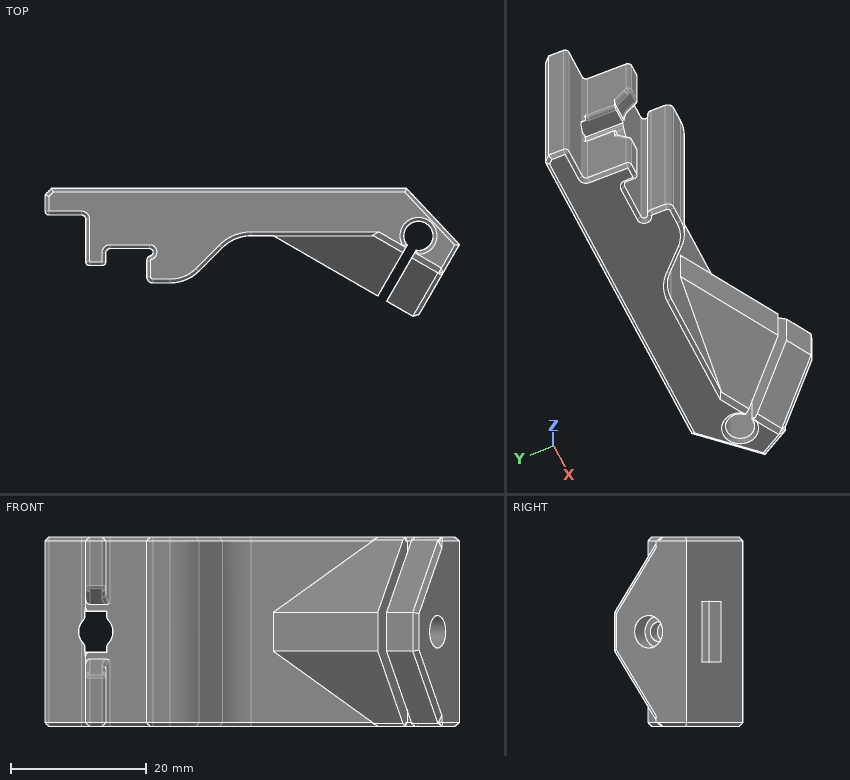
import cadquery as cq
import math

length = 61.1
height = 28.0
rim_chamfer = 0.58
edge_radius = 0.6

plate_end_thickness = 4.0
plate_thickness = 7.0
back_length = 53.3
back_corner_chamfer = 1.0

tab_left = 6.0
tab_right = 9.0
tab_tip = 11.4
slot_right = 15.0
slot_floor = 8.9
relief_radius = 0.52
relief_offset = 0.4
lip_radius = 0.85

hook_tip = 14.0
hook_corner_radius = 1.0
hook_flat_end = 18.45
bend_radius = 6.0
bend_angle = 45.0

hole_radius = 2.5
hole_blend_radius = 1.0
hole_half_height = 3.0
hole_width = 3.2
hole_x = (tab_left + tab_right) / 2
notch_half_height = 4.05

lug_angle = 30.0
lug_start = 33.65
tip_drop = 8.3
ridge_half_width = 2.9
flank_depth = 7.4
flank_half_width = 13.5
web_depth = 7.7
lug_end_chamfer = 0.7

bore_x = 55.05
bore_y = -7.0
bore_radius = 2.15
slit_width = 1.5
screw_radius = 1.45
screw_head_radius = 2.4
screw_head_depth = 3.05
screw_offset = 6.2
window_width = 3.9
window_height = 8.9

pick_margin = 0.05

along = cq.Vector(math.cos(math.radians(lug_angle)), -math.sin(math.radians(lug_angle)))
inward = cq.Vector(-along.y, along.x)
lug_origin = cq.Vector(lug_start, -plate_thickness)
tip = cq.Vector(length, -tip_drop)
lug_length = (tip - lug_origin).dot(along)

bore_from_origin = cq.Vector(bore_x, bore_y) - lug_origin
bore_distance = bore_from_origin.dot(along)
bore_depth = bore_from_origin.dot(inward)
slit_start = bore_distance - slit_width / 2


def lug_point(distance, depth):
    """XY point at a distance along the lug underside and a depth above it."""
    point = lug_origin + along * distance + inward * depth
    return (point.x, point.y)


def lug_plane(distance, depth=0.0):
    """Plane across the lug: local X runs into the body, local Y runs along Z."""
    x, y = lug_point(distance, depth)
    return cq.Plane(origin=(x, y, 0), xDir=inward.toTuple(), normal=along.toTuple())


def upright_edges(x, y):
    """Selector for the full-height edge at a corner of the body outline."""
    return cq.selectors.BoxSelector(
        (x - pick_margin, y - pick_margin, -height),
        (x + pick_margin, y + pick_margin, height),
    )


def make_body():
    """Plate, tab, hook and clamp web as one prism with chamfered rims."""
    bend_run = bend_radius * math.sin(math.radians(bend_angle))
    bend_drop = bend_radius * (1 - math.cos(math.radians(bend_angle)))
    half_run = bend_radius * math.sin(math.radians(bend_angle / 2))
    half_drop = bend_radius * (1 - math.cos(math.radians(bend_angle / 2)))
    ramp_drop = hook_tip - plate_thickness - 2 * bend_drop
    ramp_start = hook_flat_end + bend_run
    ramp_end = ramp_start + ramp_drop / math.tan(math.radians(bend_angle))
    bend_end = ramp_end + bend_run

    relief_x = slot_right + relief_offset
    relief_y = -slot_floor - relief_radius
    lip_y = relief_y - math.sqrt(relief_radius**2 - relief_offset**2)

    web_start = web_depth / inward.x + lug_start

    body = (
        cq.Workplane("XY")
        .moveTo(0, 0)
        .lineTo(0, -plate_end_thickness)
        .lineTo(tab_left, -plate_end_thickness)
        .lineTo(tab_left, -tab_tip)
        .lineTo(tab_right, -tab_tip)
        .lineTo(tab_right, -slot_floor)
        .lineTo(relief_x, -slot_floor)
        .threePointArc((relief_x + relief_radius, relief_y), (slot_right, lip_y))
        .lineTo(slot_right, -hook_tip)
        .lineTo(hook_flat_end, -hook_tip)
        .threePointArc(
            (hook_flat_end + half_run, -hook_tip + half_drop),
            (ramp_start, -hook_tip + bend_drop),
        )
        .lineTo(ramp_end, -plate_thickness - bend_drop)
        .threePointArc(
            (bend_end - half_run, -plate_thickness - half_drop),
            (bend_end, -plate_thickness),
        )
        .lineTo(web_start, -plate_thickness)
        .lineTo(*lug_point(lug_length, web_depth))
        .lineTo(tip.x, tip.y)
        .lineTo(back_length, 0)
        .close()
        .extrude(height / 2, both=True)
    )

    body = body.edges(upright_edges(0, 0)).chamfer(back_corner_chamfer)
    rounded_corners = [
        (0, -plate_end_thickness, edge_radius),
        (tab_left, -plate_end_thickness, edge_radius),
        (tab_left, -tab_tip, edge_radius),
        (tab_right, -tab_tip, edge_radius),
        (tab_right, -slot_floor, edge_radius),
        (slot_right, -hook_tip, hook_corner_radius),
        (slot_right, lip_y, lip_radius),
    ]
    for x, y, radius in rounded_corners:
        body = body.edges("|Z").edges(upright_edges(x, y)).fillet(radius)

    body = body.cut(make_bore()).cut(make_slit())
    return body.faces("|Z").chamfer(rim_chamfer)


def make_bore():
    """Upright clamp bore through the whole height."""
    return cq.Workplane("XY").moveTo(bore_x, bore_y).circle(bore_radius).extrude(height, both=True)


def make_slit():
    """Slit from the bore centre out through the lug underside."""
    return (
        cq.Workplane(lug_plane(slit_start))
        .rect(2 * bore_depth, 2 * height)
        .extrude(slit_width)
    )


def lug_prism(start, end, near_depth, near_half_width, far_depth, far_half_width):
    """Trapezoidal prism along the lug, from its near depth to its far depth."""
    outline = [
        (near_depth, -near_half_width),
        (near_depth, near_half_width),
        (far_depth, far_half_width),
        (far_depth, -far_half_width),
    ]
    return cq.Workplane(lug_plane(start)).polyline(outline).close().extrude(end - start)


def make_ridge():
    """Ridge under the plate, narrowing to a flat underside and chamfered at its end.

    A thin bevelled layer joins the flanks to the top and bottom faces of the body.
    """
    ridge = lug_prism(0, lug_length, 0, ridge_half_width, flank_depth, flank_half_width)
    end_face = ridge.faces(cq.selectors.DirectionMinMaxSelector(along))
    outer_edges = cq.selectors.InverseSelector(cq.selectors.DirectionMinMaxSelector(inward))
    ridge = end_face.edges(outer_edges).chamfer(lug_end_chamfer)

    bevel_start = web_depth
    bevel = lug_prism(
        bevel_start,
        lug_length - rim_chamfer,
        flank_depth,
        flank_half_width,
        web_depth + rim_chamfer,
        height / 2,
    )

    rim_half_width = height / 2 - rim_chamfer
    end_layer = lug_prism(
        bevel_start,
        lug_length,
        flank_depth,
        rim_half_width,
        web_depth,
        rim_half_width,
    )
    return ridge.union(bevel).union(end_layer)


def make_screw_hole():
    """Counterbored clamp screw hole from the lug end face to the slit."""
    shank = (
        cq.Workplane(lug_plane(slit_start, screw_offset))
        .circle(screw_radius)
        .extrude(lug_length - slit_start)
    )
    head = (
        cq.Workplane(lug_plane(lug_length, screw_offset))
        .circle(screw_head_radius)
        .extrude(-screw_head_depth)
    )
    return shank.union(head)


def make_window():
    """Rectangular window from the bore out through the slanted back wall."""
    back_slope = cq.Vector(tip.x - back_length, tip.y)
    outward = (-back_slope.y, back_slope.x, 0)
    plane = cq.Plane(origin=(bore_x, bore_y, 0), xDir=back_slope.toTuple(), normal=outward)
    return cq.Workplane(plane).rect(window_width, window_height).extrude(tip_drop)


def make_tab_notch():
    """Notch with 45 degree flanks through the tab, down to the slot floor."""
    depth = tab_tip - slot_floor
    outline = [
        (-slot_floor, -notch_half_height),
        (-slot_floor, notch_half_height),
        (-tab_tip, notch_half_height + depth),
        (-tab_tip, -notch_half_height - depth),
    ]
    return (
        cq.Workplane("YZ", origin=(tab_left - edge_radius, 0, 0))
        .polyline(outline)
        .close()
        .extrude(tab_right - tab_left + 2 * edge_radius)
    )


def make_keyhole():
    """Slotted round hole through the tab and plate."""
    rectangle = (
        cq.Workplane("XZ", origin=(hole_x, 0, 0))
        .rect(hole_width, 2 * hole_half_height)
        .extrude(tab_tip)
    )
    circle = cq.Workplane("XZ", origin=(hole_x, 0, 0)).circle(hole_radius).extrude(tab_tip)
    blend_reach = hole_width / 2 + pick_margin
    blend_edges = cq.selectors.BoxSelector(
        (hole_x - blend_reach, -tab_tip, -hole_radius),
        (hole_x + blend_reach, 0, hole_radius),
    )
    return rectangle.union(circle).edges("|Y").edges(blend_edges).fillet(hole_blend_radius)


def round_tab_openings(part):
    """Round the edges where the tab's outer wall meets the notch flanks and keyhole sides."""
    near_x = tab_left - pick_margin
    far_x = tab_left + pick_margin
    notch_top = notch_half_height + tab_tip - slot_floor
    for side in (-1, 1):
        flank_edge = cq.selectors.BoxSelector(
            (near_x, -tab_tip + edge_radius - pick_margin, side * (notch_half_height - pick_margin)),
            (far_x, -slot_floor + pick_margin, side * (notch_top + pick_margin)),
        )
        part = part.edges(flank_edge).fillet(edge_radius)
        keyhole_edge = cq.selectors.BoxSelector(
            (near_x, -slot_floor - pick_margin, side * (hole_half_height - pick_margin)),
            (far_x, -plate_end_thickness - pick_margin, side * (hole_half_height + pick_margin)),
        )
        part = part.edges(keyhole_edge).fillet(edge_radius)
    return part


result = make_body().union(make_ridge().cut(make_slit()))
result = result.cut(make_screw_hole()).cut(make_window())
result = result.cut(make_tab_notch()).cut(make_keyhole())
result = round_tab_openings(result)